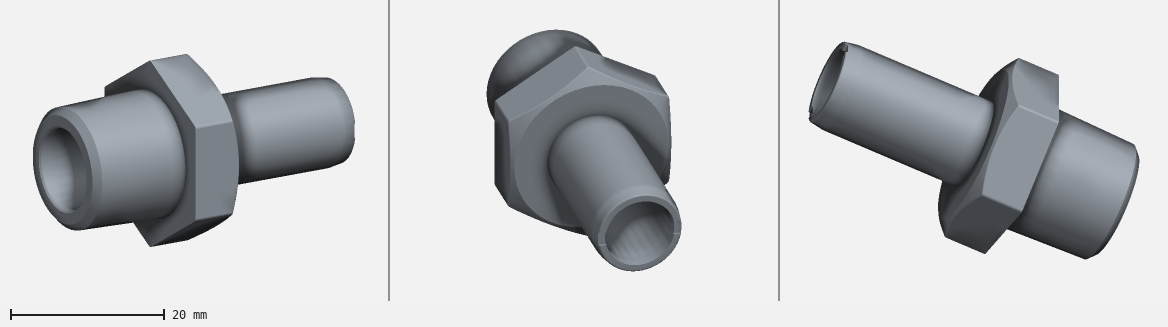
import cadquery as cq
import math

overall_length = 41.7
hex_start = 13.5
hex_end = 20.5

across_flats = 22.0
hex_corner_radius = 0.5
hex_face_radius = 10.5
hex_bevel_angle = 30.0
hex_bevel_edge_radius = 0.2

thread_base_radius = 8.55
thread_taper = 1 / 32
thread_chamfer = 0.9

stem_radius = 6.0
stem_tip_radius = 5.67
stem_lead_length = 2.0
stem_lead_blend_radius = 2.5
stem_tip_fillet = 0.2
notch_width = 1.88
notch_depth = 0.25

bore_mouth_radius = 5.45
bore_stem_radius = 4.7
bore_chamfer = 0.3
bore_mouth_blend_radius = 0.35


def revolve_about_y(points):
    """Solid of revolution about Y from (radius, y) points."""
    profile = cq.Workplane("XY").polyline(points).close()
    return profile.revolve(360, (0, 0, 0), (0, 1, 0))


def circle_edge(radius, y):
    """Selector for the circular edge of this radius around the Y axis at this y."""
    margin = 0.05
    reach = radius + margin
    return cq.selectors.BoxSelector(
        (-reach, y - margin, -reach),
        (reach, y + margin, reach),
        boundingbox=True,
    )


def make_hexagon():
    corner_diameter = across_flats / math.cos(math.radians(30))
    hexagon = (
        cq.Workplane("XZ", origin=(0, hex_end, 0))
        .transformed(rotate=(0, 0, 90))
        .polygon(6, corner_diameter)
        .extrude(hex_end - hex_start)
        .edges("|Y")
        .fillet(hex_corner_radius)
    )
    slope = math.tan(math.radians(hex_bevel_angle))
    envelope_radius = corner_diameter / 2
    bevel_depth = (envelope_radius - hex_face_radius) * slope
    envelope = revolve_about_y([
        (0, hex_end),
        (hex_face_radius, hex_end),
        (envelope_radius, hex_end - bevel_depth),
        (envelope_radius, hex_start),
        (0, hex_start),
    ])
    beveled = hexagon.intersect(envelope)
    return beveled.faces("%CONE").edges("not(>Y)").fillet(hex_bevel_edge_radius)


def make_thread():
    tip_radius = thread_base_radius - hex_start * thread_taper
    chamfer_radius = tip_radius + thread_chamfer * thread_taper
    return revolve_about_y([
        (0, 0),
        (tip_radius - thread_chamfer, 0),
        (chamfer_radius, thread_chamfer),
        (thread_base_radius, hex_start),
        (0, hex_start),
    ])


def make_stem():
    lead_start = overall_length - stem_lead_length
    stem = revolve_about_y([
        (0, hex_end),
        (stem_radius, hex_end),
        (stem_radius, lead_start),
        (stem_tip_radius, overall_length),
        (0, overall_length),
    ])
    stem = stem.edges(circle_edge(stem_radius, lead_start)).fillet(stem_lead_blend_radius)
    return stem.faces(">Y").edges().fillet(stem_tip_fillet)


def make_bore():
    bore = revolve_about_y([
        (0, 0),
        (bore_mouth_radius + bore_chamfer, 0),
        (bore_mouth_radius, bore_chamfer),
        (bore_stem_radius, overall_length),
        (0, overall_length),
    ])
    return bore.edges(circle_edge(bore_mouth_radius, bore_chamfer)).fillet(bore_mouth_blend_radius)


def make_notch():
    """Shallow slot along X across the stem's end face."""
    notch = cq.Workplane("XY").box(2 * stem_radius, 2 * notch_depth, notch_width)
    return notch.translate((0, overall_length, 0))


result = make_hexagon().union(make_thread()).union(make_stem()).cut(make_bore()).cut(make_notch())